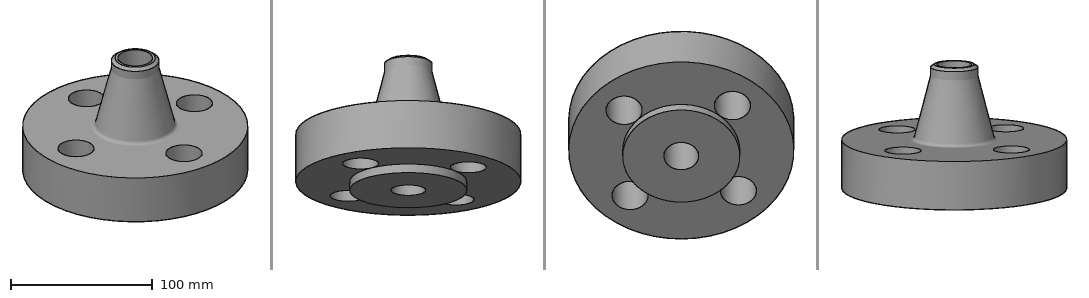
import cadquery as cq
import math

flange_diameter = 158.7
flange_thickness = 34.9

face_diameter = 82.5
face_height = 6.3

total_height = 95.2
hub_diameter = 57.1
hub_root_radius = 3.0
neck_diameter = 33.6
neck_length = 8.3
bevel_height = 1.9
weld_land_diameter = 28.3

bore_diameter = 24.5

bolt_count = 4
bolt_hole_diameter = 25.4
bolt_circle_diameter = 108.1

plate_bottom = face_height
plate_top = plate_bottom + flange_thickness
neck_bottom = total_height - neck_length
bevel_bottom = total_height - bevel_height

cone_slope_angle = math.atan2(neck_bottom - plate_top, (hub_diameter - neck_diameter) / 2)
root_tangent_length = hub_root_radius * math.tan(cone_slope_angle / 2)
root_outer_radius = hub_diameter / 2 + root_tangent_length
root_inner_radius = hub_diameter / 2 - root_tangent_length * math.cos(cone_slope_angle)
root_top = plate_top + root_tangent_length * math.sin(cone_slope_angle)


def flange_body():
    """Revolve the solid half section around the Z axis."""
    half_section = (
        cq.Workplane("XZ")
        .lineTo(face_diameter / 2, 0)
        .lineTo(face_diameter / 2, plate_bottom)
        .lineTo(flange_diameter / 2, plate_bottom)
        .lineTo(flange_diameter / 2, plate_top)
        .lineTo(root_outer_radius, plate_top)
        .tangentArcPoint((root_inner_radius, root_top), relative=False)
        .lineTo(neck_diameter / 2, neck_bottom)
        .lineTo(neck_diameter / 2, bevel_bottom)
        .lineTo(weld_land_diameter / 2, total_height)
        .lineTo(0, total_height)
        .close()
    )
    return half_section.revolve(360, (0, 0, 0), (0, 1, 0))


def bore():
    """Straight bore through the full height."""
    return cq.Workplane("XY").circle(bore_diameter / 2).extrude(total_height)


def bolt_holes():
    """Bolt hole cutters through the plate, evenly spaced from the X axis."""
    return (
        cq.Workplane("XY")
        .workplane(offset=plate_bottom)
        .polarArray(bolt_circle_diameter / 2, 0, 360, bolt_count)
        .circle(bolt_hole_diameter / 2)
        .extrude(flange_thickness)
    )


result = flange_body().cut(bore()).cut(bolt_holes())